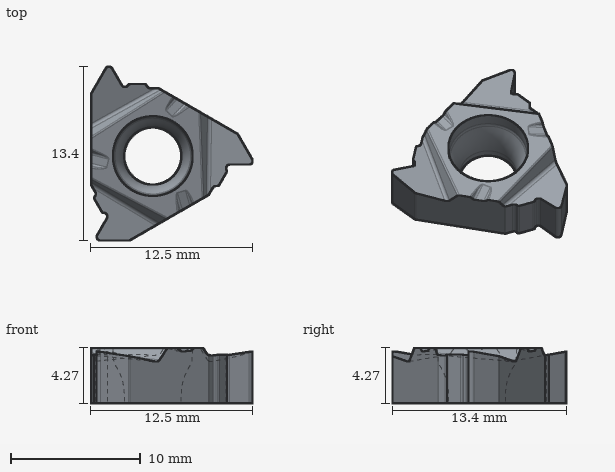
import cadquery as cq
import math

TEETH = 3
THICKNESS = 4.27
INSCRIBED_R = 4.76

TIP_TOP = 6.91
FLANK_ANGLE = 60.0
OUTER_FLANK_OFFSET = 6.53
TIP_R = 0.3
VALLEY_R = 0.2
VALLEY_BOTTOM = 5.35
VALLEY_FLAT = 0.1
CREST_TOP = 5.56
CREST_END = -0.54
SHOULDER_TOP = 5.24
SHOULDER_R = 0.3
CREST_START_R = 0.2
CREST_END_R = 0.16
SHOULDER_END_R = 0.16
SIDE_CORNER_R = 0.24

RAKE_ANGLE = 10.0
CREST_HEIGHT = 3.76
WALL_ANGLE = 58.0
WALL_HEADING = 122.2
WALL_OFFSET = 3.76
WALL_FOOT_R = 0.32
WALL_TOP_R = 0.16
CUTTER_SIZE = 20.16

BORE_D = 4.4
RIM_D = 6.17
RECESS_D = 6.02
RECESS_DEPTH = 1.06
SEAT_TOP_D = 5.85
SEAT_TOP_Z = 2.98
SEAT_END_Z = 0.67

NOTCH_DEPTH = 0.25
NOTCH_LENGTH = 1.32
NOTCH_FLAT_WIDTH = 0.63
NOTCH_WALL_ANGLE = 45.0
NOTCH_FLOOR_R = 0.27
NOTCH_RIM_R = 0.16
NOTCH_OVERRUN = 3
SIDE_CLEARANCE = 0.03
NOTCH_HEADING = -14.0
NOTCH_Y = -0.23


def polar(radius, degrees):
    """Plan components of a length in the given direction."""
    angle = math.radians(degrees)
    return radius * math.cos(angle), radius * math.sin(angle)


def turned(point, degrees):
    """Rotate a plan point about the axis."""
    c, s = polar(1, degrees)
    return c * point[0] - s * point[1], s * point[0] + c * point[1]


def around_axis(shape):
    """Copies of a shape, one per tooth."""
    return [shape.rotate((0, 0, 0), (0, 0, 1), 360 / TEETH * i) for i in range(TEETH)]


def point_on(centre, radius, degrees):
    """Point on a circle at the given angle from +X."""
    dx, dy = polar(radius, degrees)
    return centre[0] + dx, centre[1] + dy


OUTER_NORMAL = 90 + FLANK_ANGLE
INNER_NORMAL = 90 - FLANK_ANGLE
NX, NY = polar(1, INNER_NORMAL)

tip_y = TIP_TOP - TIP_R
tip_centre = ((NY * tip_y - (OUTER_FLANK_OFFSET - TIP_R)) / NX, tip_y)
inner_flank_offset = NX * tip_centre[0] + NY * tip_centre[1] + TIP_R

valley_y = VALLEY_BOTTOM + VALLEY_R
valley_start = ((inner_flank_offset + VALLEY_R - NY * valley_y) / NX, valley_y)
valley_end = (valley_start[0] + VALLEY_FLAT, valley_y)
valley_exit = point_on(valley_end, VALLEY_R, FLANK_ANGLE - 90)
crest_start = valley_exit[0] + (CREST_TOP - valley_exit[1]) / math.tan(math.radians(FLANK_ANGLE))

flank_foot = (-INSCRIBED_R, (OUTER_FLANK_OFFSET - NX * INSCRIBED_R) / NY)
shoulder_start = CREST_END + (CREST_TOP - SHOULDER_TOP) / math.tan(math.radians(FLANK_ANGLE))
side_x, side_y = polar(1, 180 - 360 / TEETH)
shoulder_end = (INSCRIBED_R - side_y * SHOULDER_TOP) / side_x

ROUNDED_CORNERS = [
    (flank_foot, SIDE_CORNER_R),
    ((crest_start, CREST_TOP), CREST_START_R),
    ((CREST_END, CREST_TOP), CREST_END_R),
    ((shoulder_start, SHOULDER_TOP), SHOULDER_R),
    ((shoulder_end, SHOULDER_TOP), SHOULDER_END_R),
]


def insert_body():
    outline = cq.Workplane("XY").moveTo(*flank_foot)
    for i in range(TEETH):
        turn = -360 / TEETH * i

        def at(point):
            return turned(point, turn)

        if i > 0:
            outline = outline.lineTo(*at(flank_foot))
        outline = (
            outline.lineTo(*at(point_on(tip_centre, TIP_R, OUTER_NORMAL)))
            .threePointArc(at(point_on(tip_centre, TIP_R, 90)), at(point_on(tip_centre, TIP_R, INNER_NORMAL)))
            .lineTo(*at(point_on(valley_start, VALLEY_R, INNER_NORMAL + 180)))
            .tangentArcPoint(at(point_on(valley_start, VALLEY_R, -90)), relative=False)
            .lineTo(*at(point_on(valley_end, VALLEY_R, -90)))
            .tangentArcPoint(at(valley_exit), relative=False)
            .lineTo(*at((crest_start, CREST_TOP)))
            .lineTo(*at((CREST_END, CREST_TOP)))
            .lineTo(*at((shoulder_start, SHOULDER_TOP)))
            .lineTo(*at((shoulder_end, SHOULDER_TOP)))
        )
    body = outline.close().extrude(THICKNESS)

    for corner, radius in ROUNDED_CORNERS:
        for i in range(TEETH):
            x, y = turned(corner, -360 / TEETH * i)
            edge = cq.selectors.NearestToPointSelector((x, y, THICKNESS / 2))
            body = body.edges("|Z").edges(edge).fillet(radius)
    return body


def half_space(origin, normal):
    """A large block lying on the side of a plane that its normal points to."""
    plane = cq.Plane(origin=origin, xDir=cq.Vector(0, 0, 1).cross(cq.Vector(*normal)), normal=normal)
    return cq.Workplane(plane).rect(CUTTER_SIZE, CUTTER_SIZE).extrude(CUTTER_SIZE)


def rake_cutter():
    """Space above one tooth: over the rake face and outside the chip-breaker wall."""
    rake_cos, rake_sin = polar(1, RAKE_ANGLE)
    rake_normal = (0, -rake_sin, rake_cos)
    above_rake = half_space((0, CREST_TOP, CREST_HEIGHT), rake_normal)

    wall_cos, wall_sin = polar(1, WALL_ANGLE)
    wall_point = (*polar(WALL_OFFSET, WALL_HEADING), THICKNESS)
    wall_normal = (*polar(wall_sin, WALL_HEADING), wall_cos)
    outside_wall = half_space(wall_point, wall_normal)

    cutter = above_rake.intersect(outside_wall)
    foot_direction = cq.Vector(*rake_normal).cross(cq.Vector(*wall_normal))
    return cutter.edges(cq.selectors.ParallelDirSelector(foot_direction)).edges("<Z").fillet(WALL_FOOT_R)


def hole_cutter():
    """Screw hole: recess, rounded-over seat that blends into the bore."""
    bore_r = BORE_D / 2
    seat_r = SEAT_TOP_D / 2
    recess_r = RECESS_D / 2
    rim_r = RIM_D / 2
    recess_floor = THICKNESS - RECESS_DEPTH
    return (
        cq.Workplane("XZ")
        .lineTo(bore_r, 0)
        .lineTo(bore_r, SEAT_END_Z)
        .tangentArcPoint((seat_r, SEAT_TOP_Z), relative=False)
        .tangentArcPoint((recess_r, recess_floor), relative=False)
        .lineTo(rim_r, THICKNESS)
        .lineTo(0, THICKNESS)
        .close()
        .revolve(360, (0, 0, 0), (0, 1, 0))
    )


def notch_cutter():
    """Sloping-walled channel whose floor climbs inwards to the top face."""
    rise = NOTCH_DEPTH / NOTCH_LENGTH
    inward = cq.Vector(*polar(1, NOTCH_HEADING), rise)
    floor_origin = cq.Vector(-INSCRIBED_R, NOTCH_Y, THICKNESS - NOTCH_DEPTH)
    across = cq.Vector(*polar(1, NOTCH_HEADING + 90), 0)
    section = cq.Plane(origin=(floor_origin - inward * NOTCH_LENGTH).toTuple(), xDir=across, normal=inward)

    round_setback = NOTCH_FLOOR_R * math.tan(math.radians(NOTCH_WALL_ANGLE / 2))
    half_floor = NOTCH_FLAT_WIDTH / 2 + round_setback
    wall_height = NOTCH_OVERRUN * NOTCH_DEPTH
    half_top = half_floor + wall_height / math.tan(math.radians(NOTCH_WALL_ANGLE))
    channel = (
        cq.Workplane(section)
        .polyline([(-half_floor, 0), (half_floor, 0), (half_top, wall_height), (-half_top, wall_height)])
        .close()
        .extrude(NOTCH_OVERRUN * NOTCH_LENGTH)
    )
    floor_edges = channel.edges(cq.selectors.ParallelDirSelector(inward))
    low = cq.selectors.DirectionMinMaxSelector(section.yDir, directionMax=False)
    return floor_edges.edges(low).fillet(NOTCH_FLOOR_R)


def round_wall_tops(body):
    for i in range(TEETH):
        x, y = turned(polar(WALL_OFFSET, WALL_HEADING), 360 / TEETH * i)
        edge = cq.selectors.NearestToPointSelector((x, y, THICKNESS))
        body = body.edges(edge).fillet(WALL_TOP_R)
    return body


def add_notch(body):
    """Cut one notch in the -X side and round its rim in the top face."""
    body = body.cut(notch_cutter())
    reach = NOTCH_LENGTH + NOTCH_DEPTH
    rim = cq.selectors.BoxSelector(
        (SIDE_CLEARANCE - INSCRIBED_R, NOTCH_Y - reach, THICKNESS - SIDE_CLEARANCE),
        (reach - INSCRIBED_R, NOTCH_Y + reach, THICKNESS + SIDE_CLEARANCE),
    )
    return body.edges(rim).fillet(NOTCH_RIM_R)


result = insert_body()
for cutter in around_axis(rake_cutter()):
    result = result.cut(cutter)
result = round_wall_tops(result)
for _ in range(TEETH):
    result = add_notch(result).rotate((0, 0, 0), (0, 0, 1), 360 / TEETH)
result = result.cut(hole_cutter())